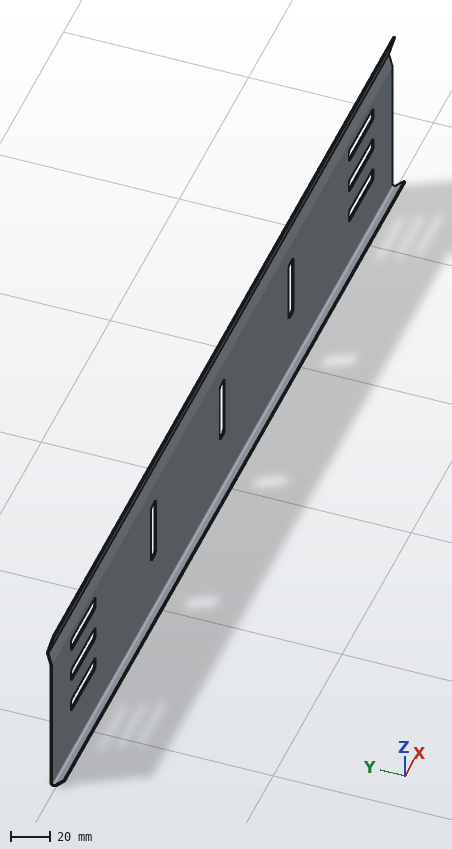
import cadquery as cq
import math

length = 493.0
depth = 10.0
height = 101.0

thickness = 1.0
web_back = 3.0
top_tip_back = 1.5
crease_z = 38.0
web_top_z = 30.5
lip_angle = 45.0
bend_radius = 2.0

slot_length = 36.0
slot_width = 7.5
slot_corner_radius = 2.0
slot_centre_z = 1.0
upright_pitch = 99.5
end_slot_x = 201.0
end_slot_pitch = 20.0


def unit_normal(start, end):
    """Unit normal to the left of the direction of travel."""
    dy = end[0] - start[0]
    dz = end[1] - start[1]
    run = math.hypot(dy, dz)
    return (-dz / run, dy / run)


def offset_left(points, distance):
    """Parallel copy of an open polyline, with mitred corners and square ends."""
    normals = [unit_normal(a, b) for a, b in zip(points, points[1:])]
    before = normals[:1] + normals
    after = normals + normals[-1:]
    shifted = []
    for (y, z), n1, n2 in zip(points, before, after):
        scale = distance / (1 + n1[0] * n2[0] + n1[1] * n2[1])
        shifted.append((y + scale * (n1[0] + n2[0]), z + scale * (n1[1] + n2[1])))
    return shifted


def folded_sheet():
    """Constant section swept along X: bottom lip, rounded bend, web and two-fold top rim."""
    slope = math.radians(lip_angle)
    bend_turn = math.pi / 2 + slope
    corner_z = -height / 2 + bend_radius * (1 - math.tan(bend_turn / 2))
    lip_tip_z = corner_z + (web_back + depth / 2) * math.tan(slope)
    outer_face = [
        (-depth / 2, lip_tip_z),
        (web_back, corner_z),
        (web_back, web_top_z),
        (depth / 2, crease_z),
        (top_tip_back, height / 2),
    ]
    inner_face = offset_left(outer_face, thickness)
    section = cq.Workplane("YZ").polyline(outer_face + inner_face[::-1]).close()
    sheet = section.extrude(length / 2, both=True)
    outer_bend = cq.selectors.NearestToPointSelector((0, *outer_face[1]))
    inner_bend = cq.selectors.NearestToPointSelector((0, *inner_face[1]))
    sheet = sheet.edges("|X").edges(outer_bend).fillet(bend_radius)
    return sheet.edges("|X").edges(inner_bend).fillet(bend_radius - thickness)


def slot_cutters(centres, size_x, size_z):
    """Rounded rectangular bars passing through the web along Y."""
    bars = cq.Workplane("XZ").pushPoints(centres).rect(size_x, size_z).extrude(depth, both=True)
    return bars.edges("|Y").fillet(slot_corner_radius)


upright_centres = [(i * upright_pitch, slot_centre_z) for i in (-1, 0, 1)]
end_centres = [
    (side * end_slot_x, slot_centre_z + row * end_slot_pitch)
    for side in (-1, 1)
    for row in (-1, 0, 1)
]

result = (
    folded_sheet()
    .cut(slot_cutters(upright_centres, slot_width, slot_length))
    .cut(slot_cutters(end_centres, slot_length, slot_width))
)